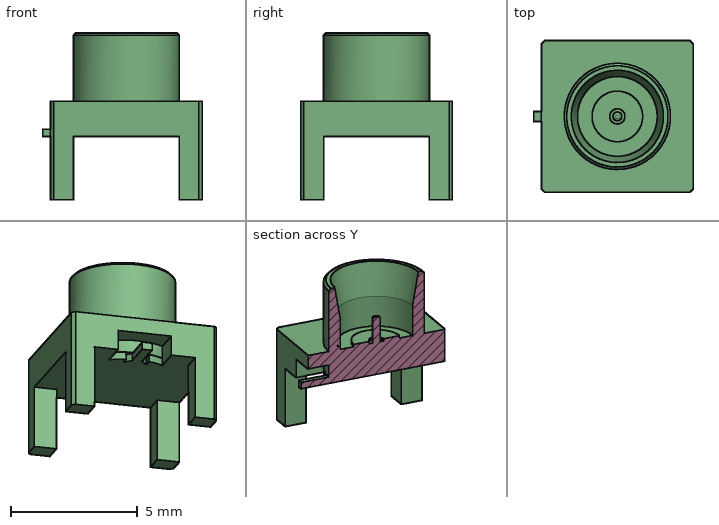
import cadquery as cq

TOTAL_HEIGHT = 6.6
PLATE_TOP = 3.9
LEG_HEIGHT = 2.5

BODY_SIDE = 6.0
LEG_WIDTH = 0.92
CORNER_CHAMFER = 0.13

SHELL_DIAMETER = 4.2
SHELL_FOOT_DIAMETER = 4.16
RIM_CHAMFER = 0.1
MOUTH_DIAMETER = 3.64
BORE_DIAMETER = 3.15
TAPER_DEPTH = 1.4

INSULATOR_DIAMETER = 2.0
INSULATOR_RISE = 0.1
PIN_HOLE_DIAMETER = 0.6
PIN_DIAMETER = 0.35
PIN_TIP_RADIUS = 0.1
PIN_TOP = 5.0

WINDOW_WIDTH = 2.2
WINDOW_HEIGHT = 0.8
TAIL_WIDTH = 0.4
TAIL_HEIGHT = 0.3
TAIL_OVERHANG = 0.305
ROOT_WIDTH = 0.9
NOTCH_WIDTH = 0.95
NOTCH_DEPTH = 0.4

SHELL_RADIUS = SHELL_DIAMETER / 2
HALF_SIDE = BODY_SIDE / 2
NOTCH_END = NOTCH_DEPTH - SHELL_RADIUS
TAIL_TOP = LEG_HEIGHT + TAIL_HEIGHT


def cylinder(diameter, bottom, top):
    """Vertical cylinder on the shell axis between two heights."""
    return cq.Workplane("XY").workplane(offset=bottom).circle(diameter / 2).extrude(top - bottom)


def box(x_min, x_max, width, bottom, top):
    """Block centred on Y = 0."""
    return cq.Workplane("XY").box(x_max - x_min, width, top - bottom, centered=False).translate(
        (x_min, -width / 2, bottom)
    )


def make_housing():
    """Square block, opened below between the legs along both X and Y."""
    housing = cq.Workplane("XY").rect(BODY_SIDE, BODY_SIDE).extrude(PLATE_TOP)
    housing = housing.edges("|Z").chamfer(CORNER_CHAMFER)
    leg_gap = BODY_SIDE - 2 * LEG_WIDTH
    for length, width in ((BODY_SIDE, leg_gap), (leg_gap, BODY_SIDE)):
        housing = housing.cut(box(-length / 2, length / 2, width, 0, LEG_HEIGHT))
    return housing.cut(box(-HALF_SIDE, 0, WINDOW_WIDTH, LEG_HEIGHT, LEG_HEIGHT + WINDOW_HEIGHT))


def make_shell():
    """Shell running down through the housing, slightly reduced and notched at its foot."""
    shell = cylinder(SHELL_DIAMETER, TAIL_TOP, TOTAL_HEIGHT).faces(">Z").chamfer(RIM_CHAMFER)
    foot = cylinder(SHELL_FOOT_DIAMETER, LEG_HEIGHT, TAIL_TOP)
    notch = box(-SHELL_RADIUS, NOTCH_END, NOTCH_WIDTH, LEG_HEIGHT, TAIL_TOP)
    return shell.union(foot.cut(notch))


def make_bore():
    """Tapered mouth followed by a straight bore down to the plate top."""
    taper_end = TOTAL_HEIGHT - TAPER_DEPTH
    profile = (
        cq.Workplane("XZ")
        .moveTo(0, PLATE_TOP)
        .lineTo(BORE_DIAMETER / 2, PLATE_TOP)
        .lineTo(BORE_DIAMETER / 2, taper_end)
        .lineTo(MOUTH_DIAMETER / 2, TOTAL_HEIGHT)
        .lineTo(0, TOTAL_HEIGHT)
        .close()
    )
    return profile.revolve(axisStart=(0, 0, 0), axisEnd=(0, 1, 0))


def make_insulator():
    """Low disc with a clearance hole around the centre pin."""
    top = PLATE_TOP + INSULATOR_RISE
    return cylinder(INSULATOR_DIAMETER, PLATE_TOP, top).cut(cylinder(PIN_HOLE_DIAMETER, PLATE_TOP, top))


def make_pin():
    """Centre pin with a rounded tip."""
    return cylinder(PIN_DIAMETER, PLATE_TOP, PIN_TOP).faces(">Z").edges().fillet(PIN_TIP_RADIUS)


def make_tail():
    """Flat tail that widens at 45 degrees into its root inside the notch."""
    tip_x = -HALF_SIDE - TAIL_OVERHANG
    flare = (ROOT_WIDTH - TAIL_WIDTH) / 2
    half_root = ROOT_WIDTH / 2
    half_tail = TAIL_WIDTH / 2
    return (
        cq.Workplane("XY")
        .workplane(offset=LEG_HEIGHT)
        .polyline(
            [
                (tip_x, -half_tail),
                (NOTCH_END - flare, -half_tail),
                (NOTCH_END, -half_root),
                (NOTCH_END, half_root),
                (NOTCH_END - flare, half_tail),
                (tip_x, half_tail),
            ]
        )
        .close()
        .extrude(TAIL_HEIGHT)
    )


result = make_housing().union(make_shell()).cut(make_bore())
result = result.union(make_insulator()).union(make_pin()).union(make_tail())